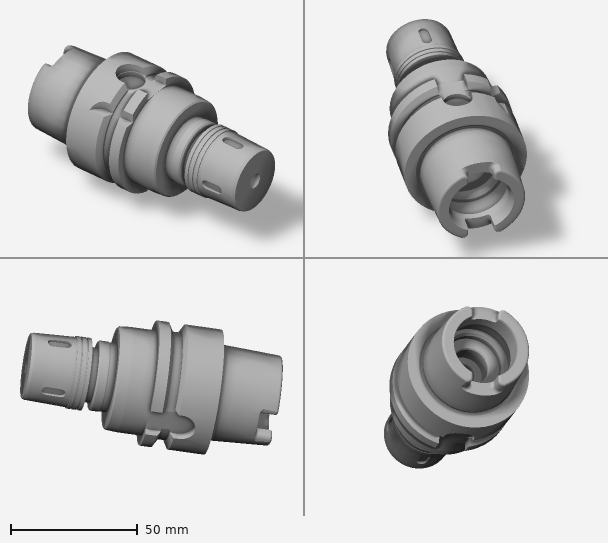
import cadquery as cq
import math


SHANK_LENGTH = 25.0
SHANK_FACE_DIAMETER = 38.4
SHANK_TAPER = 0.1
SHANK_NOSE_FILLET = 1.0
RELIEF_WIDTH = 1.75
RELIEF_DIAMETER = 37.5
RELIEF_RAMP = 0.5
RELIEF_CONE_START = -0.4
RELIEF_CONE_DROP = 0.3
FACE_UNDERCUT_DIAMETER = 40.8
FACE_UNDERCUT_FLOOR_DIAMETER = 38.9
FACE_UNDERCUT_DEPTH = 0.5

FLANGE_DIAMETER = 50.0
FLANGE_WIDTH = 26.0
GRIPPER_GROOVE_X = 18.0
GRIPPER_GROOVE_FLOOR_WIDTH = 3.7
GRIPPER_GROOVE_DIAMETER = 43.0
GRIPPER_FLANK_DIAMETER = 44.7
GRIPPER_FLANK_ANGLE = 30.0

BODY_DIAMETER = 42.0
BODY_STRAIGHT_END = 36.0
BODY_END = 41.0
BODY_END_DIAMETER = 41.3
BODY_CHAMFER = 0.6
COLLAR_NECK_DIAMETER = 27.6
COLLAR_DIAMETER = 28.0
COLLAR_START = 44.0
COLLAR_RAMP = 0.4
COLLAR_END = 48.0
COLLAR_CHAMFER = 0.6
NECK_DIAMETER = 22.0

NUT_START = 51.0
NUT_END = 75.0
NUT_RING_DIAMETER = 29.0
NUT_RING_END = 57.0
NUT_GROOVE_WIDTH = 0.7
NUT_GROOVE_DEPTH = 0.5
NUT_GROOVE_CENTRES = (52.8, 55.1)
NUT_TAPER_START_DIAMETER = 28.1
NUT_TAPER_END_DIAMETER = 26.8
NUT_CHAMFER_LENGTH = 1.2
NUT_END_DIAMETER = 26.0
NUT_POCKET_LENGTH = 9.5
NUT_POCKET_WIDTH = 4.0
NUT_POCKET_X = 64.0
NUT_POCKET_FLOOR_RADIUS = 12.5
NUT_POCKET_COUNT = 4

BORE_DIAMETER = 26.0
BORE_MOUTH_DIAMETER = 26.6
BORE_MOUTH_DEPTH = 0.9
CLAMP_BORE_DIAMETER = 29.0
CLAMP_BORE_START = 10.0
CLAMP_BORE_END = 19.0
INNER_BORE_DIAMETER = 24.0
INNER_BORE_END = 23.0
TUBE_BORE_DIAMETER = 15.0
TUBE_BORE_MOUTH_DIAMETER = 16.0
TUBE_BORE_END = 32.0
COOLANT_STEP_DIAMETER = 9.3
COOLANT_STEP_MOUTH_DIAMETER = 10.0
COOLANT_STEP_END = 40.0
THROUGH_HOLE_DIAMETER = 6.4

DRIVE_SLOT_WIDTH = 10.5
DRIVE_SLOT_TOP_DEPTH = 4.4
DRIVE_SLOT_BOTTOM_DEPTH = 7.4
DRIVE_SLOT_STRAIGHT_HEIGHT = 14.1
DRIVE_SLOT_FLARE_RADIUS = 2.05
DRIVE_SLOT_FLOOR_FILLET = 1.5
DRIVE_SLOT_MOUTH_FILLET = 1.0

KEYWAY_WIDTH = 12.1
KEYWAY_CENTRE_X = 13.1
KEYWAY_FLOOR = 21.0
KEYWAY_HOLE_DIAMETER = 11.5
KEYWAY_HOLE_DEPTH = 2.4
NOTCH_WIDTH = 12.0
NOTCH_WALL_Y = -15.6
NOTCH_FLOOR_Z = 15.5

AXIS_START = (0, 0, 0)
AXIS_END = (1, 0, 0)
OVERCUT = 1.0


def shank_radius(x):
    """Radius of the taper at x, which is negative along the shank."""
    return (SHANK_FACE_DIAMETER + SHANK_TAPER * x) / 2


def revolved(outline):
    return cq.Workplane("XY").polyline(outline).close().revolve(360, AXIS_START, AXIS_END)


def turned_about_axis(shape, angle):
    return shape.rotate(AXIS_START, AXIS_END, angle)


def turned_body():
    """Solid outer shape of the holder and nut, with the shank nose rounded."""
    flank_height = (FLANGE_DIAMETER - GRIPPER_FLANK_DIAMETER) / 2
    flank_run = flank_height * math.tan(math.radians(GRIPPER_FLANK_ANGLE))
    floor_start = GRIPPER_GROOVE_X - GRIPPER_GROOVE_FLOOR_WIDTH / 2
    floor_end = GRIPPER_GROOVE_X + GRIPPER_GROOVE_FLOOR_WIDTH / 2
    relief_radius = RELIEF_DIAMETER / 2
    outline = [
        (-SHANK_LENGTH, 0),
        (-SHANK_LENGTH, shank_radius(-SHANK_LENGTH)),
        (-RELIEF_WIDTH, shank_radius(-RELIEF_WIDTH)),
        (-RELIEF_WIDTH + RELIEF_RAMP, relief_radius),
        (RELIEF_CONE_START, relief_radius),
        (FACE_UNDERCUT_DEPTH, relief_radius - RELIEF_CONE_DROP),
        (FACE_UNDERCUT_DEPTH, FACE_UNDERCUT_FLOOR_DIAMETER / 2),
        (0, FACE_UNDERCUT_DIAMETER / 2),
        (0, FLANGE_DIAMETER / 2),
        (floor_start - flank_run, FLANGE_DIAMETER / 2),
        (floor_start, GRIPPER_FLANK_DIAMETER / 2),
        (floor_start, GRIPPER_GROOVE_DIAMETER / 2),
        (floor_end, GRIPPER_GROOVE_DIAMETER / 2),
        (floor_end, GRIPPER_FLANK_DIAMETER / 2),
        (floor_end + flank_run, FLANGE_DIAMETER / 2),
        (FLANGE_WIDTH, FLANGE_DIAMETER / 2),
        (FLANGE_WIDTH, BODY_DIAMETER / 2),
        (BODY_STRAIGHT_END, BODY_DIAMETER / 2),
        (BODY_END - BODY_CHAMFER, BODY_END_DIAMETER / 2),
        (BODY_END, BODY_END_DIAMETER / 2 - BODY_CHAMFER),
        (BODY_END, COLLAR_NECK_DIAMETER / 2),
        (COLLAR_START - COLLAR_RAMP, COLLAR_NECK_DIAMETER / 2),
        (COLLAR_START, COLLAR_DIAMETER / 2),
        (COLLAR_END - COLLAR_CHAMFER, COLLAR_DIAMETER / 2),
        (COLLAR_END, COLLAR_DIAMETER / 2 - COLLAR_CHAMFER),
        (COLLAR_END, NECK_DIAMETER / 2),
        (NUT_START, NECK_DIAMETER / 2),
        (NUT_START, NUT_RING_DIAMETER / 2),
        (NUT_RING_END, NUT_RING_DIAMETER / 2),
        (NUT_RING_END, NUT_TAPER_START_DIAMETER / 2),
        (NUT_END - NUT_CHAMFER_LENGTH, NUT_TAPER_END_DIAMETER / 2),
        (NUT_END, NUT_END_DIAMETER / 2),
        (NUT_END, 0),
    ]
    return revolved(outline).faces("<X").edges().fillet(SHANK_NOSE_FILLET)


def nut_groove(centre):
    """Ring that cuts one narrow groove into the wide band of the nut."""
    return (
        cq.Workplane("YZ", origin=(centre - NUT_GROOVE_WIDTH / 2, 0, 0))
        .circle(NUT_RING_DIAMETER / 2 + OVERCUT)
        .circle(NUT_RING_DIAMETER / 2 - NUT_GROOVE_DEPTH)
        .extrude(NUT_GROOVE_WIDTH)
    )


def nut_pocket():
    """Shallow round-ended pocket at +Z with a flat floor."""
    return (
        cq.Workplane("XY", origin=(NUT_POCKET_X, 0, NUT_POCKET_FLOOR_RADIUS))
        .slot2D(NUT_POCKET_LENGTH, NUT_POCKET_WIDTH)
        .extrude(NUT_RING_DIAMETER / 2)
    )


def bore():
    """Stepped bore from the shank nose, narrowing to a hole through the nut."""
    inner_chamfer = (BORE_DIAMETER - INNER_BORE_DIAMETER) / 2
    tube_chamfer = (TUBE_BORE_MOUTH_DIAMETER - TUBE_BORE_DIAMETER) / 2
    step_chamfer = (COOLANT_STEP_MOUTH_DIAMETER - COOLANT_STEP_DIAMETER) / 2
    depths_and_diameters = [
        (0, 0),
        (0, BORE_MOUTH_DIAMETER),
        (BORE_MOUTH_DEPTH, BORE_DIAMETER),
        (CLAMP_BORE_START, BORE_DIAMETER),
        (CLAMP_BORE_START, CLAMP_BORE_DIAMETER),
        (CLAMP_BORE_END, CLAMP_BORE_DIAMETER),
        (CLAMP_BORE_END, BORE_DIAMETER),
        (CLAMP_BORE_END + inner_chamfer, INNER_BORE_DIAMETER),
        (INNER_BORE_END, INNER_BORE_DIAMETER),
        (INNER_BORE_END, TUBE_BORE_MOUTH_DIAMETER),
        (INNER_BORE_END + tube_chamfer, TUBE_BORE_DIAMETER),
        (TUBE_BORE_END, TUBE_BORE_DIAMETER),
        (TUBE_BORE_END, COOLANT_STEP_MOUTH_DIAMETER),
        (TUBE_BORE_END + step_chamfer, COOLANT_STEP_DIAMETER),
        (COOLANT_STEP_END, COOLANT_STEP_DIAMETER),
        (COOLANT_STEP_END, THROUGH_HOLE_DIAMETER),
        (SHANK_LENGTH + NUT_END, THROUGH_HOLE_DIAMETER),
        (SHANK_LENGTH + NUT_END, 0),
    ]
    outline = [(depth - SHANK_LENGTH, diameter / 2) for depth, diameter in depths_and_diameters]
    return revolved(outline)


def drive_slot(depth):
    """Slot at +Z with rounded floor corners; its sides flare outward near the shank surface."""
    half = DRIVE_SLOT_WIDTH / 2
    flare = DRIVE_SLOT_FLARE_RADIUS
    shoulder = DRIVE_SLOT_STRAIGHT_HEIGHT
    bend = flare * math.sqrt(0.5)
    outer = FLANGE_DIAMETER
    profile = (
        cq.Workplane("YZ", origin=(-SHANK_LENGTH - OVERCUT, 0, 0))
        .moveTo(-half, 0)
        .lineTo(-half, shoulder)
        .threePointArc((-half - flare + bend, shoulder + bend), (-half - flare, shoulder + flare))
        .lineTo(-outer, shoulder + flare)
        .lineTo(-outer, outer)
        .lineTo(outer, outer)
        .lineTo(outer, shoulder + flare)
        .lineTo(half + flare, shoulder + flare)
        .threePointArc((half + flare - bend, shoulder + bend), (half, shoulder))
        .lineTo(half, 0)
        .close()
    )
    side_edges = cq.selectors.BoxSelector(
        (-SHANK_LENGTH, -half - flare, OVERCUT),
        (depth, half + flare, shoulder + flare),
    )
    slot = profile.extrude(depth + OVERCUT)
    return slot.faces(">X").edges(side_edges).fillet(DRIVE_SLOT_FLOOR_FILLET)


def drive_slot_envelope():
    """Oversize round bar with both drive slots and their rounded mouths, to intersect with the body."""
    envelope = (
        cq.Workplane("YZ", origin=(-SHANK_LENGTH, 0, 0))
        .circle(FLANGE_DIAMETER / 2 + OVERCUT)
        .extrude(SHANK_LENGTH + NUT_END + OVERCUT)
    )
    envelope = envelope.cut(drive_slot(DRIVE_SLOT_TOP_DEPTH))
    envelope = envelope.cut(turned_about_axis(drive_slot(DRIVE_SLOT_BOTTOM_DEPTH), 180))
    reach = DRIVE_SLOT_WIDTH / 2 + DRIVE_SLOT_FLARE_RADIUS
    mouth = cq.selectors.BoxSelector(
        (-SHANK_LENGTH - OVERCUT, -reach, -FLANGE_DIAMETER),
        (0, reach, FLANGE_DIAMETER),
    )
    return envelope.faces("<X").edges(mouth).fillet(DRIVE_SLOT_MOUTH_FILLET)


def flange_slot(width, centre_y, floor_z):
    """Flat-floored slot cut from +Z, round at its shank end and open at the back of the flange."""
    length = FLANGE_WIDTH - KEYWAY_CENTRE_X
    height = FLANGE_DIAMETER / 2
    plane = cq.Workplane("XY", origin=(KEYWAY_CENTRE_X, centre_y, floor_z))
    round_end = plane.circle(width / 2).extrude(height)
    straight = plane.center(length / 2, 0).rect(length, width).extrude(height)
    return straight.union(round_end)


def keyway_hole():
    """Shallow blind hole in the floor of the +Z keyway, at its round end."""
    return (
        cq.Workplane("XY", origin=(KEYWAY_CENTRE_X, 0, KEYWAY_FLOOR - KEYWAY_HOLE_DEPTH))
        .circle(KEYWAY_HOLE_DIAMETER / 2)
        .extrude(FLANGE_DIAMETER / 2)
    )


result = turned_body().intersect(drive_slot_envelope()).cut(bore())

for groove_centre in NUT_GROOVE_CENTRES:
    result = result.cut(nut_groove(groove_centre))
for pocket_index in range(NUT_POCKET_COUNT):
    pocket_angle = pocket_index * 360 / NUT_POCKET_COUNT
    result = result.cut(turned_about_axis(nut_pocket(), pocket_angle))

keyway = flange_slot(KEYWAY_WIDTH, 0, KEYWAY_FLOOR)
orientation_notch = flange_slot(NOTCH_WIDTH, NOTCH_WALL_Y - NOTCH_WIDTH / 2, NOTCH_FLOOR_Z)
result = result.cut(keyway).cut(turned_about_axis(keyway, 180))
result = result.cut(keyway_hole()).cut(orientation_notch)